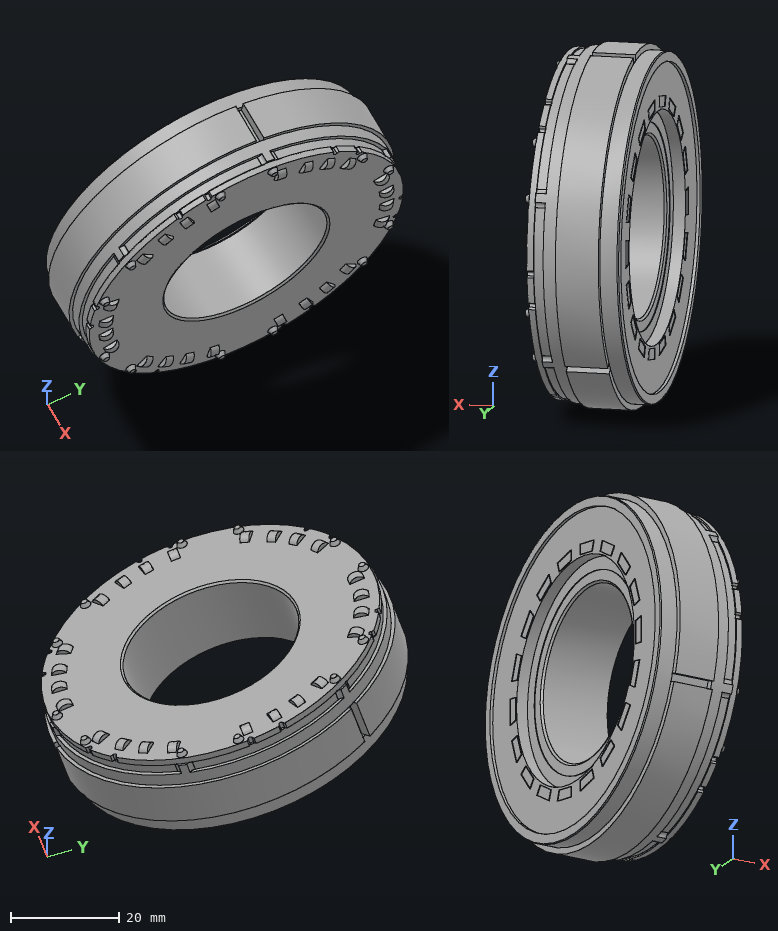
import cadquery as cq
import math

WIDTH = 18.35
BORE_DIA = 34.05
RIM_DIA = 65.6
SLEEVE_DIA = 66.5
OUTER_DIA = 68.0
POCKET_FLOOR_DIA = 65.0

RING_START = 3.55
RING_END = 11.7
POCKET_START = 14.2
DISC_START = 16.2
STUD_HEIGHT = 0.9
DISC_END = WIDTH - STUD_HEIGHT

FRONT_EDGE_LENGTH = 0.3
FRONT_EDGE_DEPTH = 0.15
SEAL_DIA = 61.75
SEAL_DEPTH = 0.6
RACE_RECESS_DIA = 43.9
RACE_DEPTH = 2.9
RACE_DIA = 38.9
RACE_STEP = 0.15
BORE_CHAMFER = 0.4
WINDOW_COUNT = 18
WINDOW_INNER_RADIUS = 22.4
WINDOW_OUTER_RADIUS = 24.4
WINDOW_INNER_WIDTH = 4.55
WINDOW_OUTER_WIDTH = 5.2
WINDOW_DEPTH = 0.15

SECTOR_COUNT = 6
SECTOR_ANGLE = 360 / SECTOR_COUNT
BRIDGE_ANGLE = 20.0
BRIDGE_WIDTH = 1.7
BRIDGE_FILLET = 0.9
RING_CUT_COUNT = 3
RING_CUT_ANGLE = BRIDGE_ANGLE + SECTOR_ANGLE
RING_CUT_DEPTH = 2.25
RING_CUT_WIDTH = 1.55

NOTCH_DIA = 0.75
NOTCH_MOUTH = 1.35
NOTCH_DEPTH = 0.8
BUTTON_ANGLE = 20.0
BUTTON_RADIUS = 31.55
BUTTON_BASE_DIA = 2.05
BUTTON_TOP_DIA = 1.2
LUG_ANGLES = (5.0, 16.2)
LUG_RADIUS = 29.4
LUG_DIA = 3.3
LUG_LENGTH = 1.85


def ring(x_start, x_end, outer_dia, inner_dia):
    """Plain annulus between two X positions."""
    return (
        cq.Workplane("YZ", origin=(x_start, 0, 0))
        .circle(outer_dia / 2)
        .circle(inner_dia / 2)
        .extrude(x_end - x_start)
    )


def place_at(shape, angle):
    """Turn a feature modelled on the +Y axis to its angle about X."""
    return shape.rotate((0, 0, 0), (1, 0, 0), angle)


def mirrored_angles(offsets):
    """Angles on both sides of every sector's centre."""
    return [
        sector * SECTOR_ANGLE + side * offset
        for sector in range(SECTOR_COUNT)
        for offset in offsets
        for side in (-1, 1)
    ]


def turned_body():
    """Stepped section, revolved about X, before any cuts or studs."""
    rim = RIM_DIA / 2
    race_face = RACE_DEPTH + RACE_STEP
    section = [
        (0, SEAL_DIA / 2),
        (0, rim - FRONT_EDGE_DEPTH),
        (FRONT_EDGE_LENGTH, rim),
        (RING_START, rim),
        (RING_START, OUTER_DIA / 2),
        (RING_END, OUTER_DIA / 2),
        (RING_END, SLEEVE_DIA / 2),
        (DISC_START, SLEEVE_DIA / 2),
        (DISC_START, rim),
        (DISC_END, rim),
        (DISC_END, BORE_DIA / 2 + BORE_CHAMFER),
        (DISC_END - BORE_CHAMFER, BORE_DIA / 2),
        (race_face + BORE_CHAMFER, BORE_DIA / 2),
        (race_face, BORE_DIA / 2 + BORE_CHAMFER),
        (race_face, RACE_DIA / 2),
        (RACE_DEPTH, RACE_DIA / 2),
        (RACE_DEPTH, RACE_RECESS_DIA / 2),
        (SEAL_DEPTH, RACE_RECESS_DIA / 2),
        (SEAL_DEPTH, SEAL_DIA / 2),
    ]
    return cq.Workplane("XY").polyline(section).close().revolve(360, (0, 0, 0), (1, 0, 0))


def roller_window():
    """Shallow tapered recess in the seal face."""
    return (
        cq.Workplane("YZ", origin=(SEAL_DEPTH, 0, 0))
        .polyline([
            (WINDOW_INNER_RADIUS, -WINDOW_INNER_WIDTH / 2),
            (WINDOW_OUTER_RADIUS, -WINDOW_OUTER_WIDTH / 2),
            (WINDOW_OUTER_RADIUS, WINDOW_OUTER_WIDTH / 2),
            (WINDOW_INNER_RADIUS, WINDOW_INNER_WIDTH / 2),
        ])
        .close()
        .extrude(WINDOW_DEPTH)
    )


def ring_cut():
    """Slot across the outer ring and into the body, with a floor concentric with the ring."""
    slot = (
        cq.Workplane("XY")
        .box(RING_END - RING_START, OUTER_DIA + 0.7, RING_CUT_WIDTH, centered=(False, False, True))
        .translate((RING_START, 0, 0))
    )
    return slot.intersect(ring(RING_START, RING_END, OUTER_DIA + 0.7, OUTER_DIA - 2 * RING_CUT_DEPTH))


def bridge():
    """Land between two pockets, with a concave foot on each side."""
    floor = POCKET_FLOOR_DIA / 2
    top = SLEEVE_DIA / 2
    inside = floor - BRIDGE_FILLET
    half_top = BRIDGE_WIDTH / 2
    rise = top - floor
    reach = math.sqrt(BRIDGE_FILLET**2 - (BRIDGE_FILLET - rise) ** 2)
    half_foot = half_top + reach
    mid_angle = math.acos((BRIDGE_FILLET - rise) / BRIDGE_FILLET) / 2
    mid_radius = floor + BRIDGE_FILLET * (1 - math.cos(mid_angle))
    half_mid = half_foot - BRIDGE_FILLET * math.sin(mid_angle)
    outside = top + 0.7
    outline = (
        cq.Workplane("YZ", origin=(POCKET_START, 0, 0))
        .moveTo(inside, -half_foot)
        .lineTo(floor, -half_foot)
        .threePointArc((mid_radius, -half_mid), (top, -half_top))
        .lineTo(outside, -half_top)
        .lineTo(outside, half_top)
        .lineTo(top, half_top)
        .threePointArc((mid_radius, half_mid), (floor, half_foot))
        .lineTo(inside, half_foot)
        .close()
    )
    return outline.extrude(DISC_START - POCKET_START)


def rim_notch():
    """Flared notch with a round bottom through the rim of the rear disc."""
    rim = RIM_DIA / 2
    radius = NOTCH_DIA / 2
    bottom = rim - NOTCH_DEPTH
    centre = bottom + radius
    return (
        cq.Workplane("YZ", origin=(DISC_START, 0, 0))
        .moveTo(centre, -radius)
        .threePointArc((bottom, 0), (centre, radius))
        .lineTo(rim, NOTCH_MOUTH / 2)
        .lineTo(rim + NOTCH_DEPTH, NOTCH_MOUTH / 2)
        .lineTo(rim + NOTCH_DEPTH, -NOTCH_MOUTH / 2)
        .lineTo(rim, -NOTCH_MOUTH / 2)
        .close()
        .extrude(DISC_END - DISC_START)
    )


def button():
    """Tapered round stud on the rear face."""
    return (
        cq.Workplane("YZ", origin=(DISC_END, BUTTON_RADIUS, 0))
        .circle(BUTTON_BASE_DIA / 2)
        .workplane(offset=STUD_HEIGHT)
        .circle(BUTTON_TOP_DIA / 2)
        .loft()
    )


def lug():
    """Part of a tangential cylinder standing out of the rear face."""
    return (
        cq.Workplane("XY", origin=(WIDTH - LUG_DIA / 2, LUG_RADIUS, -LUG_LENGTH / 2))
        .circle(LUG_DIA / 2)
        .extrude(LUG_LENGTH)
    )


result = turned_body()

for index in range(WINDOW_COUNT):
    result = result.cut(place_at(roller_window(), index * 360 / WINDOW_COUNT))

for index in range(RING_CUT_COUNT):
    result = result.cut(place_at(ring_cut(), RING_CUT_ANGLE + index * 360 / RING_CUT_COUNT))

pockets = ring(POCKET_START, DISC_START, SLEEVE_DIA + 0.7, POCKET_FLOOR_DIA)
for index in range(SECTOR_COUNT):
    pockets = pockets.cut(place_at(bridge(), BRIDGE_ANGLE + index * SECTOR_ANGLE))
result = result.cut(pockets)

for index in range(SECTOR_COUNT):
    for lug_angle in LUG_ANGLES:
        result = result.cut(place_at(rim_notch(), index * SECTOR_ANGLE - lug_angle))

for angle in mirrored_angles([BUTTON_ANGLE]):
    result = result.union(place_at(button(), angle))

for angle in mirrored_angles(LUG_ANGLES):
    result = result.union(place_at(lug(), angle))